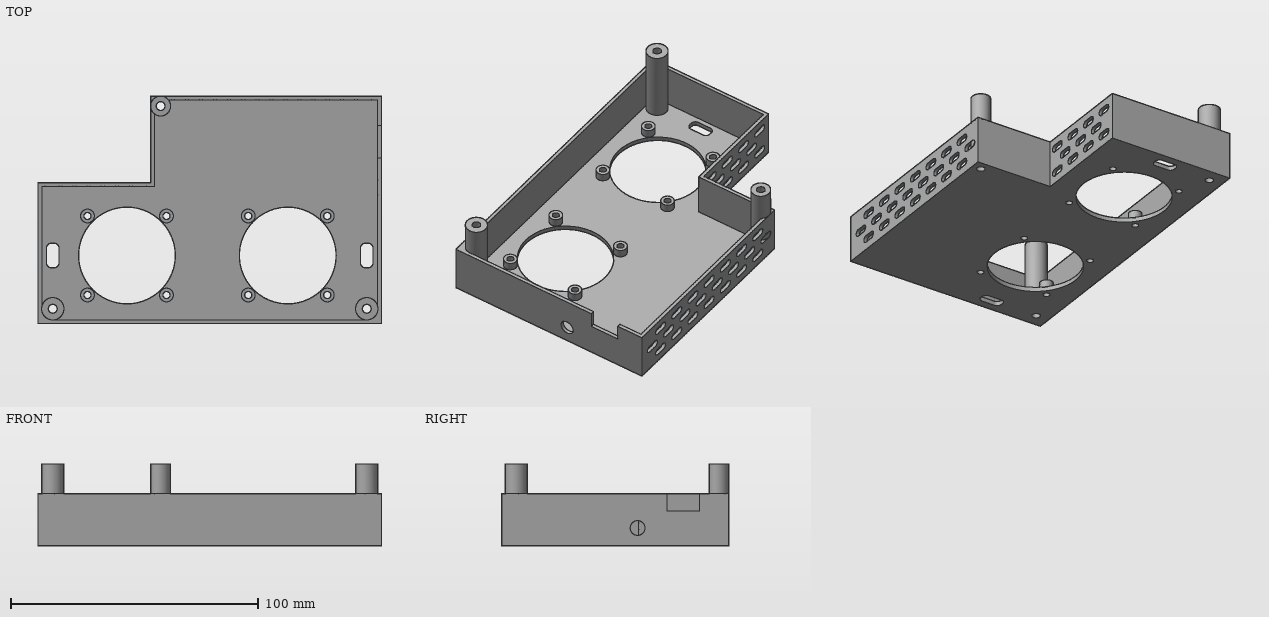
import cadquery as cq

length = 139.0
width = 92.0
tray_height = 21.1
total_height = 33.2
wall = 1.5
floor = 2.0

step_x = 45.6
step_y = 57.0

corner_inset = 6.0
front_post_diameter = 9.0
step_post_diameter = 8.0
step_post_inset = 4.0
post_hole_diameter = 3.5
post_places = [
    (corner_inset, corner_inset, front_post_diameter),
    (length - corner_inset, corner_inset, front_post_diameter),
    (step_x + step_post_inset, width - step_post_inset, step_post_diameter),
]

fan_diameter = 39.0
fan_first_x = 36.0
fan_spacing = 65.0
fan_y = 27.5
fan_screw_pitch = 32.0
boss_diameter = 5.5
boss_height = 3.5
boss_hole_diameter = 2.8
fan_centres = [(fan_first_x, fan_y), (fan_first_x + fan_spacing, fan_y)]
boss_offset = fan_screw_pitch / 2
boss_places = [
    (x + side_x * boss_offset, y + side_y * boss_offset)
    for x, y in fan_centres
    for side_x in (-1, 1)
    for side_y in (-1, 1)
]

floor_slot_width = 5.0
floor_slot_length = 9.9
floor_slot_radius = 2.0

vent_length = 7.0
vent_height = 3.0
vent_pitch_x = 11.4
vent_pitch_z = 5.7
vent_middle_z = 10.7
step_vent_centre_x = 23.4
back_vent_centre_x = 91.6
step_vent_count = 4
back_vent_count = 7

notch_start_y = 67.0
notch_length = 13.0
notch_depth = 7.0
cable_hole_diameter = 6.0
cable_hole_y = 55.0
cable_hole_z = 7.2


def stepped_prism(inset, bottom, top):
    """L-shaped block, drawn in from the outer outline by the inset."""
    return (
        cq.Workplane("XY", origin=(0, 0, bottom))
        .moveTo(inset, inset)
        .lineTo(length - inset, inset)
        .lineTo(length - inset, width - inset)
        .lineTo(step_x + inset, width - inset)
        .lineTo(step_x + inset, step_y - inset)
        .lineTo(inset, step_y - inset)
        .close()
        .extrude(top - bottom)
    )


def upright_cylinders(places, diameter, bottom, top):
    """Vertical cylinders at the given places."""
    return (
        cq.Workplane("XY", origin=(0, 0, bottom))
        .pushPoints(places)
        .circle(diameter / 2)
        .extrude(top - bottom)
    )


def vent_row(centre_x, count, z, outer_y):
    """Evenly spaced slots cutting through the wall whose outer face is at outer_y."""
    return (
        cq.Workplane("XZ", origin=(centre_x, outer_y, z))
        .rarray(vent_pitch_x, 1.4, count, 1)
        .slot2D(vent_length, vent_height)
        .extrude(wall)
    )


tray = stepped_prism(0, 0, tray_height).cut(stepped_prism(wall, floor, tray_height))

vent_top_z = vent_middle_z + vent_pitch_z
vent_bottom_z = vent_middle_z - vent_pitch_z
for z in (vent_bottom_z, vent_top_z):
    tray = tray.cut(vent_row(step_vent_centre_x, step_vent_count, z, step_y))
    tray = tray.cut(vent_row(back_vent_centre_x, back_vent_count, z, width))
tray = tray.cut(vent_row(step_vent_centre_x, step_vent_count - 1, vent_middle_z, step_y))
tray = tray.cut(vent_row(back_vent_centre_x, back_vent_count + 1, vent_middle_z, width))

notch = cq.Workplane("XY").box(wall, notch_length, notch_depth, centered=False)
tray = tray.cut(notch.translate((length - wall, notch_start_y, tray_height - notch_depth)))
cable_hole = (
    cq.Workplane("YZ", origin=(length - wall, cable_hole_y, cable_hole_z))
    .circle(cable_hole_diameter / 2)
    .extrude(wall)
)
tray = tray.cut(cable_hole)

tray = tray.cut(upright_cylinders(fan_centres, fan_diameter, 0, floor))
floor_slots = (
    cq.Workplane("XY")
    .pushPoints([(corner_inset, fan_y), (length - corner_inset, fan_y)])
    .rect(floor_slot_width, floor_slot_length)
    .extrude(floor)
    .edges("|Z")
    .fillet(floor_slot_radius)
)
tray = tray.cut(floor_slots)

boss_top = floor + boss_height
bosses = upright_cylinders(boss_places, boss_diameter, floor, boss_top)
tray = tray.union(bosses)
tray = tray.cut(upright_cylinders(boss_places, boss_hole_diameter, 0, boss_top))

for corner_x in (0, length - corner_inset):
    corner = cq.Workplane("XY").box(corner_inset, corner_inset, tray_height, centered=False)
    tray = tray.union(corner.translate((corner_x, 0, 0)))

for x, y, diameter in post_places:
    tray = tray.union(upright_cylinders([(x, y)], diameter, 0, total_height))
    tray = tray.cut(upright_cylinders([(x, y)], post_hole_diameter, 0, total_height))

result = tray